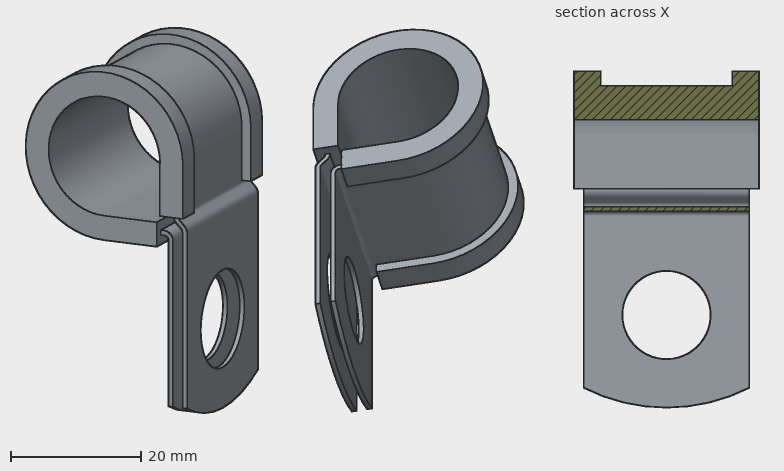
import cadquery as cq
import math


flange_diameter = 26.8
flange_radius = flange_diameter / 2
bore_radius = 9.5
cushion_width = 28.45
groove_width = 20.2
side_leg_length = 8.45
bottom_leg_length = 8.95

strap_radius = 11.85
strap_thickness = 0.8
strap_width = 25.45
strap_inner_radius = strap_radius - strap_thickness
strap_overlap = 1.1

overall_height = 55.45
tab_bottom = flange_radius - overall_height
tab_end_sagitta = 3.05
hole_diameter = 13.55
side_hole_diameter = 15.55
hole_to_tab_bottom = 14.25
front_tab_face = 11.0
bend_radius = 0.7
outer_bend = bend_radius + strap_thickness
joggle_start = -8.6
joggle_angle = 45


def centered_prism(profile, width):
    """Extrude an XZ profile symmetrically about Y = 0."""
    return profile.extrude(width / 2, both=True)


def loop_band(outer, inner, width):
    """Three-quarter ring with a straight leg at each end."""
    diagonal = math.sqrt(0.5)
    profile = (
        cq.Workplane("XZ")
        .moveTo(outer, -side_leg_length)
        .lineTo(outer, 0)
        .threePointArc((-outer * diagonal, outer * diagonal), (0, -outer))
        .lineTo(bottom_leg_length, -outer)
        .lineTo(bottom_leg_length, -inner)
        .lineTo(0, -inner)
        .threePointArc((-inner * diagonal, inner * diagonal), (inner, 0))
        .lineTo(inner, -side_leg_length)
        .close()
    )
    return centered_prism(profile, width)


def cushion():
    body = loop_band(strap_radius, bore_radius, cushion_width)
    flanges = loop_band(flange_radius, bore_radius, cushion_width).cut(
        loop_band(flange_radius, bore_radius, groove_width)
    )
    return body.union(flanges)


def arc_point(center, radius, angle):
    """Point at an angle in degrees, measured from +X toward +Z."""
    radians = math.radians(angle)
    return center[0] + radius * math.cos(radians), center[1] + radius * math.sin(radians)


def bottom_leg_tab():
    """Strap leaving the bottom leg and bending straight down."""
    bend_x = front_tab_face - outer_bend
    bend_z = -strap_inner_radius - outer_bend
    bend_center = (bend_x, bend_z)
    root_x = bottom_leg_length - strap_overlap
    profile = (
        cq.Workplane("XZ")
        .moveTo(root_x, -strap_inner_radius)
        .lineTo(bend_x, -strap_inner_radius)
        .threePointArc(arc_point(bend_center, outer_bend, 45), (front_tab_face, bend_z))
        .lineTo(front_tab_face, tab_bottom)
        .lineTo(front_tab_face - strap_thickness, tab_bottom)
        .lineTo(front_tab_face - strap_thickness, bend_z)
        .threePointArc(arc_point(bend_center, bend_radius, 45), (bend_x, bend_z + bend_radius))
        .lineTo(root_x, -strap_radius)
        .close()
    )
    return centered_prism(profile, strap_width)


def side_leg_tab():
    """Strap leaving the side leg and stepping out at 45 degrees to the flange's outer face."""
    angle = math.radians(joggle_angle)
    half_angle = joggle_angle / 2
    root_z = -side_leg_length + strap_overlap
    tab_inner = flange_radius - strap_thickness

    bends_step = (bend_radius + outer_bend) * (1 - math.cos(angle))
    straight_step = tab_inner - strap_inner_radius - bends_step
    bends_drop = (bend_radius + outer_bend) * math.sin(angle)
    joggle_end = joggle_start - bends_drop - straight_step / math.tan(angle)
    upper_center = (strap_radius + bend_radius, joggle_start)
    lower_center = (tab_inner - bend_radius, joggle_end)

    upper_middle = 180 + half_angle
    upper_end = 180 + joggle_angle
    profile = (
        cq.Workplane("XZ")
        .moveTo(strap_inner_radius, root_z)
        .lineTo(strap_radius, root_z)
        .lineTo(strap_radius, joggle_start)
        .threePointArc(
            arc_point(upper_center, bend_radius, upper_middle),
            arc_point(upper_center, bend_radius, upper_end),
        )
        .lineTo(*arc_point(lower_center, outer_bend, joggle_angle))
        .threePointArc(arc_point(lower_center, outer_bend, half_angle), (flange_radius, joggle_end))
        .lineTo(flange_radius, tab_bottom)
        .lineTo(tab_inner, tab_bottom)
        .lineTo(tab_inner, joggle_end)
        .threePointArc(
            arc_point(lower_center, bend_radius, half_angle),
            arc_point(lower_center, bend_radius, joggle_angle),
        )
        .lineTo(*arc_point(upper_center, outer_bend, upper_end))
        .threePointArc(
            arc_point(upper_center, outer_bend, upper_middle),
            (strap_inner_radius, joggle_start),
        )
        .close()
    )
    return centered_prism(profile, strap_width)


def tab_outline(bolt_hole):
    """Tab envelope with a rounded lower end and a bolt hole of the given diameter."""
    half_width = strap_width / 2
    corner_z = tab_bottom + tab_end_sagitta
    return (
        cq.Workplane("YZ")
        .moveTo(-half_width, 0)
        .lineTo(-half_width, corner_z)
        .threePointArc((0, tab_bottom), (half_width, corner_z))
        .lineTo(half_width, 0)
        .close()
        .moveTo(0, tab_bottom + hole_to_tab_bottom)
        .circle(bolt_hole / 2)
        .extrude(flange_diameter)
    )


front_tab = bottom_leg_tab().intersect(tab_outline(hole_diameter))
side_tab = side_leg_tab().intersect(tab_outline(side_hole_diameter))
result = cushion().union(front_tab).union(side_tab)